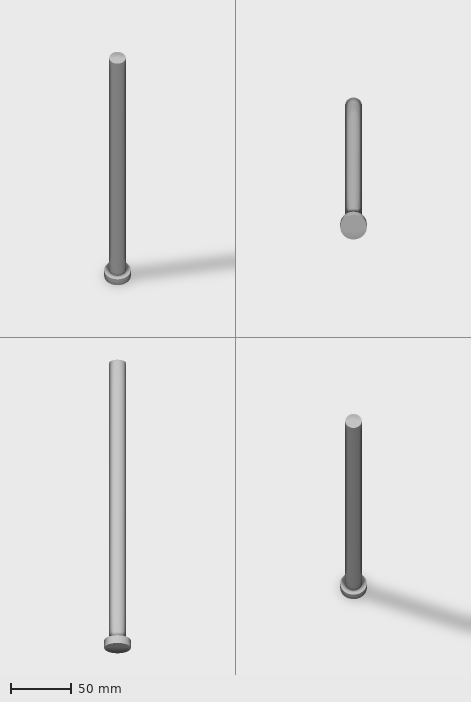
import cadquery as cq

total_length = 257.0
head_diameter = 22.0
head_height = 7.0
shank_diameter = 14.0

head = cq.Workplane("XY").circle(head_diameter / 2).extrude(head_height)
shank = cq.Workplane("XY").circle(shank_diameter / 2).extrude(total_length)

result = head.union(shank)